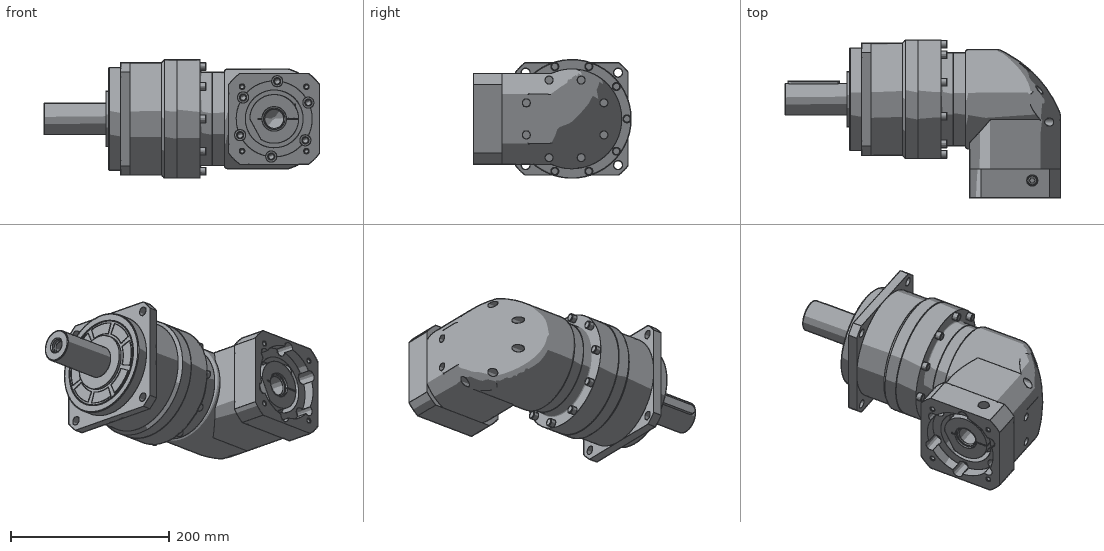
import cadquery as cq
import math


shaft_radius = 20.0
shaft_length = 82.0
shaft_chamfer = 1.0
collar_radius = 35.0
collar_protrusion = 3.5
collar_seat_depth = 20.0
key_width = 12.0
key_height = 8.0
key_length = 65.0
key_end_gap = 4.0
key_protrusion = 3.0
centre_mouth_radius = 10.0
centre_recess_radius = 8.5
centre_recess_depth = 5.0
centre_thread_radius = 7.0
centre_thread_depth = 36.0
drill_tip_slope = math.tan(math.radians(30))

spigot_radius = 65.0
spigot_length = 15.0
spigot_chamfer = 1.0
flange_size = 142.0
flange_corner_radius = 92.5
flange_thickness = 12.0
flange_hole_circle = 82.5
flange_hole_radius = 5.5
barrel_radius = 71.0
barrel_end = 66.5
body_radius = 75.0
body_start = 70.5
body_end = 86.5
joint_chamfer = 0.5
face_groove_radius = 55.0
face_groove_width = 1.0
face_relief_depth = 0.5
relief_count = 8
relief_inner_radius = 38.3
relief_outer_radius = 52.4
relief_half_angle = 18.8

rear_flange_end = 115.5
neck_radius = 59.0
neck_fillet = 2.5
neck_end = 130.5
bolt_count = 10
bolt_circle_radius = 69.5
bolt_head_radius = 5.0
bolt_head_length = 7.5
bolt_head_chamfer = 0.8

input_axis_x = 209.0
elbow_radius = 63.0
elbow_start = 146.0
elbow_fillet = 0.99 * (elbow_radius - neck_radius)
leg_radius = 65.5
leg_half_width = 57.5
leg_end = -88.0
leg_fillet = 3.0
dome_radius = 150.0
dome_height = 39.7
dome_shift = 6.0
dome_fillet = 14.0
cover_hole_count = 8
cover_hole_circle = 53.0
cover_hole_centre_y = -8.5
cover_hole_radius = 5.0
cover_hole_floor = -8.0

adapter_front = -124.5
adapter_size = 2 * leg_half_width
adapter_corner_radius = 72.0
adapter_pocket_radius = 48.0
adapter_pocket_depth = 14.0
adapter_bore_radius = 36.5
motor_hole_spacing = 81.3
motor_hole_radius = 2.6
motor_hole_depth = 16.0
socket_count = 6
socket_circle_radius = 47.7
socket_start_angle = 25.5
socket_radius = 7.0
socket_depth = 25.0
socket_hole_radius = 3.6
socket_hole_depth = 8.0
hole_mouth_chamfer = 0.9
access_hole_radius = 7.0

ring_radius = 30.8
ring_front = -111.0
ring_length = 18.0
ring_flat_angles = (180.0, 237.0)
slit_width = 1.5
slit_reach = 20.4
bushing_radius = 15.5
bushing_front = -108.0
bushing_wall_end = -50.0
bushing_bore_radius = 12.0
bushing_bore_end = -62.0
bushing_chamfer = 1.5
screw_offset = 21.5
screw_y = -102.5
screw_head_radius = 5.5
screw_head_top = 19.0
screw_head_bottom = 11.0
screw_shank_radius = 3.5
screw_shank_end = -12.0
screw_hex_size = 7.0
screw_hex_depth = 4.0


def x_plane(x):
    """Sketch plane at the given X: local x is Y, local y is Z, and the normal is +X."""
    return cq.Workplane("YZ", origin=(x, 0, 0))


def x_cylinder(radius, start, end):
    return x_plane(start).circle(radius).extrude(end - start)


def input_plane(y):
    """Sketch plane across the input axis: local x is X, local y is Z, and the normal is -Y."""
    return cq.Workplane(cq.Plane(origin=(input_axis_x, y, 0), xDir=(1, 0, 0), normal=(0, -1, 0)))


def input_cylinder(radius, start, end):
    return input_plane(start).circle(radius).extrude(start - end)


def drilled_hole(mouth_y, x, z, radius, depth, chamfer):
    """Blind hole along +Y with a chamfered mouth and a conical tip, placed relative to the input axis."""
    profile = (
        cq.Workplane("XY")
        .moveTo(0, mouth_y)
        .lineTo(radius + chamfer, mouth_y)
        .lineTo(radius, mouth_y + chamfer)
        .lineTo(radius, mouth_y + depth)
        .lineTo(0, mouth_y + depth + radius * drill_tip_slope)
        .close()
    )
    return profile.revolve(360, (0, 0, 0), (0, 1, 0)).translate((input_axis_x + x, 0, z))


def corner_points(spacing):
    half = spacing / 2
    return [(x, z) for x in (-half, half) for z in (-half, half)]


def polar(radius, degrees):
    angle = math.radians(degrees)
    return radius * math.cos(angle), radius * math.sin(angle)


key_x = -shaft_length + key_end_gap + key_length / 2
key_top = shaft_radius + key_protrusion
key = (
    cq.Workplane("XZ", origin=(key_x, key_top, 0))
    .slot2D(key_length, key_width)
    .extrude(key_height)
)

shaft_tip = -shaft_length
recess_end = shaft_tip + centre_recess_depth
thread_end = shaft_tip + centre_thread_depth
mouth_depth = centre_mouth_radius - centre_recess_radius
centre_hole = (
    cq.Workplane("XY")
    .moveTo(shaft_tip, 0)
    .lineTo(shaft_tip, centre_mouth_radius)
    .lineTo(shaft_tip + mouth_depth, centre_recess_radius)
    .lineTo(recess_end, centre_recess_radius)
    .lineTo(recess_end + mouth_depth, centre_thread_radius)
    .lineTo(thread_end, centre_thread_radius)
    .lineTo(thread_end + centre_thread_radius * drill_tip_slope, 0)
    .close()
    .revolve(360, (0, 0, 0), (1, 0, 0))
)
shaft = (
    x_cylinder(shaft_radius, shaft_tip, 0)
    .faces("<X").chamfer(shaft_chamfer)
    .union(x_cylinder(collar_radius, -collar_protrusion, collar_seat_depth))
    .cut(centre_hole)
    .cut(key)
)


def face_relief(angle):
    """Shallow ring-sector recess in the spigot face, centred on the given angle."""
    start, end = angle - relief_half_angle, angle + relief_half_angle
    return (
        x_plane(0)
        .moveTo(*polar(relief_inner_radius, start))
        .lineTo(*polar(relief_outer_radius, start))
        .threePointArc(polar(relief_outer_radius, angle), polar(relief_outer_radius, end))
        .lineTo(*polar(relief_inner_radius, end))
        .threePointArc(polar(relief_inner_radius, angle), polar(relief_inner_radius, start))
        .close()
        .extrude(face_relief_depth)
    )


flange_back = spigot_length + flange_thickness
flange = (
    x_plane(spigot_length)
    .rect(flange_size, flange_size)
    .extrude(flange_thickness)
    .intersect(x_cylinder(flange_corner_radius, spigot_length, flange_back))
)
flange_holes = (
    x_plane(spigot_length)
    .polarArray(flange_hole_circle, 45, 360, 4)
    .circle(flange_hole_radius)
    .extrude(flange_thickness)
)
barrel = (
    cq.Workplane("XY")
    .moveTo(flange_back, 0)
    .lineTo(flange_back, barrel_radius)
    .lineTo(barrel_end, barrel_radius)
    .lineTo(body_start, body_radius)
    .lineTo(body_end - joint_chamfer, body_radius)
    .lineTo(body_end, body_radius - joint_chamfer)
    .lineTo(body_end, 0)
    .close()
    .revolve(360, (0, 0, 0), (1, 0, 0))
)
face_groove = (
    x_plane(0)
    .circle(face_groove_radius + face_groove_width)
    .circle(face_groove_radius)
    .extrude(face_relief_depth)
)
housing = (
    x_cylinder(spigot_radius, 0, spigot_length)
    .faces("<X").chamfer(spigot_chamfer)
    .union(flange)
    .union(barrel)
    .cut(flange_holes)
    .cut(face_groove)
    .cut(x_cylinder(collar_radius, 0, collar_seat_depth))
)
for index in range(relief_count):
    housing = housing.cut(face_relief(index * 360 / relief_count))

rear_flange = (
    cq.Workplane("XY")
    .moveTo(body_end, 0)
    .lineTo(body_end, body_radius)
    .lineTo(rear_flange_end, body_radius)
    .lineTo(rear_flange_end, neck_radius + neck_fillet)
    .radiusArc((rear_flange_end + neck_fillet, neck_radius), -neck_fillet)
    .lineTo(neck_end, neck_radius)
    .lineTo(neck_end, 0)
    .close()
    .revolve(360, (0, 0, 0), (1, 0, 0))
)
bolt_heads = (
    x_plane(rear_flange_end)
    .polarArray(bolt_circle_radius, 0, 360, bolt_count)
    .circle(bolt_head_radius)
    .extrude(bolt_head_length)
    .faces(">X").chamfer(bolt_head_chamfer)
)
rear_flange = rear_flange.union(bolt_heads)

far = 2 * leg_radius
outer_face = input_axis_x + leg_half_width
behind_axis = cq.Workplane("XY").box(far, 2 * far, 2 * far).translate((input_axis_x - far / 2, 0, 0))
corner_limit = behind_axis.union(input_cylinder(leg_radius, -far, far))
main = (
    x_cylinder(elbow_radius, elbow_start, outer_face)
    .faces("<X").edges().fillet(elbow_fillet)
    .intersect(corner_limit)
)
leg_flats = (
    cq.Workplane("XY")
    .box(2 * leg_half_width, 4 * far, 2 * leg_half_width)
    .translate((input_axis_x, 0, 0))
)
leg = (
    input_cylinder(leg_radius, leg_end, 0)
    .intersect(leg_flats)
    .edges("|Y").fillet(leg_fillet)
)
diagonal = math.sqrt(0.5)
dome_centre_height = dome_height - dome_radius
dome_x = input_axis_x + diagonal * (dome_centre_height - dome_shift)
dome_y = diagonal * (dome_centre_height + dome_shift)
dome = cq.Workplane("XY").sphere(dome_radius).translate((dome_x, dome_y, 0))
cover_holes = (
    cq.Workplane("YZ", origin=(input_axis_x + cover_hole_floor, cover_hole_centre_y, 0))
    .polarArray(cover_hole_circle, 180 / cover_hole_count, 360, cover_hole_count)
    .circle(cover_hole_radius)
    .extrude(far)
)
elbow_neck = x_cylinder(neck_radius, neck_end, elbow_start).faces("<X").chamfer(joint_chamfer)
elbow = main.union(leg).intersect(dome)
dome_rim = elbow.faces("%SPHERE").edges()
elbow = elbow.newObject(dome_rim.vals()).fillet(dome_fillet)
elbow = (
    elbow
    .cut(cover_holes)
    .union(elbow_neck)
    .cut(input_cylinder(bushing_radius, leg_end, bushing_wall_end))
)

pocket_floor = adapter_front + adapter_pocket_depth
socket_floor = adapter_front + socket_depth
screw_x = input_axis_x + screw_offset
sockets = (
    input_plane(adapter_front)
    .polarArray(socket_circle_radius, socket_start_angle, 360, socket_count)
    .circle(socket_radius)
    .extrude(-socket_depth)
)
access_hole = (
    cq.Workplane("XY", origin=(screw_x, screw_y, 0))
    .circle(access_hole_radius)
    .extrude(far)
)
adapter = (
    input_plane(adapter_front)
    .rect(adapter_size, adapter_size)
    .extrude(adapter_front - leg_end)
    .intersect(input_cylinder(adapter_corner_radius, adapter_front, leg_end))
    .cut(input_cylinder(adapter_pocket_radius, adapter_front, pocket_floor))
    .cut(input_cylinder(adapter_bore_radius, adapter_front, leg_end))
    .cut(sockets)
    .cut(access_hole)
)
for hole_x, hole_z in corner_points(motor_hole_spacing):
    motor_hole = drilled_hole(
        adapter_front, hole_x, hole_z, motor_hole_radius, motor_hole_depth, hole_mouth_chamfer
    )
    adapter = adapter.cut(motor_hole)
for index in range(socket_count):
    hole_x, hole_z = polar(socket_circle_radius, socket_start_angle + index * 360 / socket_count)
    socket_hole = drilled_hole(
        socket_floor, hole_x, hole_z, socket_hole_radius, socket_hole_depth, hole_mouth_chamfer
    )
    adapter = adapter.cut(socket_hole)

screw_head = (
    cq.Workplane("XY", origin=(screw_x, screw_y, screw_head_bottom))
    .circle(screw_head_radius)
    .extrude(screw_head_top - screw_head_bottom)
)
screw_solid = (
    cq.Workplane("XY", origin=(screw_x, screw_y, screw_shank_end))
    .circle(screw_shank_radius)
    .extrude(screw_head_top - screw_shank_end)
    .union(screw_head)
)
screw_socket = (
    cq.Workplane("XY", origin=(screw_x, screw_y, screw_head_top))
    .polygon(6, screw_hex_size)
    .extrude(-screw_hex_depth)
)
screw = screw_solid.cut(screw_socket)

ring_end = ring_front + ring_length
flat_start, flat_end = (polar(ring_radius, angle) for angle in ring_flat_angles)
flat_middle = polar(2 * ring_radius, sum(ring_flat_angles) / 2)
ring_flat = (
    input_plane(ring_front)
    .polyline([flat_start, flat_middle, flat_end])
    .close()
    .extrude(-ring_length)
)
slit = (
    input_plane(ring_front)
    .center((ring_radius - slit_reach) / 2, 0)
    .rect(ring_radius + slit_reach, slit_width)
    .extrude(-ring_length)
)
screw_well = (
    cq.Workplane("XY", origin=(screw_x, screw_y, screw_head_bottom))
    .circle(screw_head_radius)
    .extrude(ring_radius)
)
clamp_ring = (
    input_cylinder(ring_radius, ring_front, ring_end)
    .cut(input_cylinder(bushing_radius, ring_front, ring_end))
    .cut(ring_flat)
    .cut(slit)
    .cut(screw_well)
    .cut(screw_solid)
)

bushing_bore_depth = bushing_bore_end - bushing_front
bushing = (
    input_cylinder(bushing_radius, bushing_front, bushing_wall_end)
    .cut(drilled_hole(bushing_front, 0, 0, bushing_bore_radius, bushing_bore_depth, bushing_chamfer))
)

result = cq.Compound.makeCompound([
    shaft.val(),
    key.val(),
    housing.val(),
    rear_flange.val(),
    elbow.solids().val(),
    adapter.solids().val(),
    clamp_ring.solids().val(),
    bushing.solids().val(),
    screw.solids().val(),
])